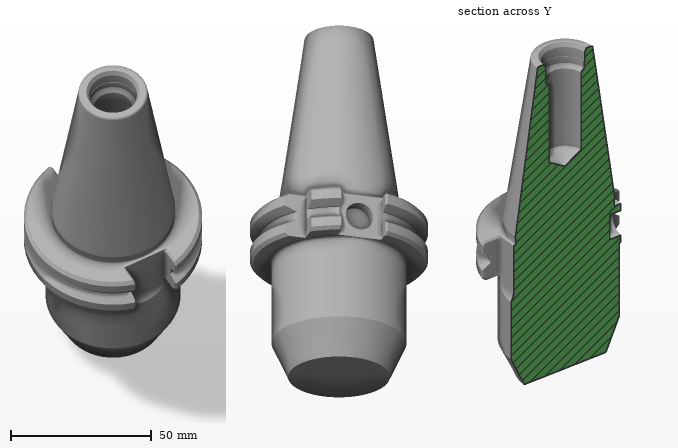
import cadquery as cq
import math

total_length = 131.4
gauge_height = 63.0
nose_height = 13.0
flange_bottom = 43.9
flange_top = 60.2
groove_middle = 52.0

gauge_radius = 22.2
taper_ratio = 7 / 24
taper_fillet = 0.9
neck_radius = 22.0
neck_fillet = 0.5
relief_height = 0.5

body_radius = 24.0
nose_radius = 18.1
body_fillet = 0.7

flange_radius = 63.5 / 2
flange_chamfer = 1.2
groove_floor_radius = 28.1
groove_floor_width = 3.4
groove_shelf = 0.4
groove_angle = 30.0

slot_width = 16.2
slot_chamfer = 0.7
slot_fillet = 0.8
tolerance = 0.001
left_slot_floor = 24.8
right_slot_floor = 22.9
runout_radius = 6.8
runout_start = 40.7
notch_x = 18.5
notch_y = 18.3

side_hole_radius = 5.1
side_hole_depth = 5.0

bore_mouth_radius = 9.5
bore_radius = 8.5
bore_mouth_depth = 1.6
bore_step_depth = 5.4
lower_bore_radius = 8.4
lower_bore_depth = 8.1
thread_radius = 7.0
thread_depth = 42.0
drill_tip_angle = 118.0


def revolve_profile(points):
    """Solid of revolution about Z from (radius, height) points."""
    return cq.Workplane("XZ").polyline(points).close().revolve(360, (0, 0), (0, 1))


def make_root_fillet(radius, face_height, size, direction):
    """Ring that rounds the corner between a cylinder and the flange face it stands on.

    The cylinder leaves the face along direction, +1 up or -1 down.
    """
    wall_end = face_height + direction * size
    return (
        cq.Workplane("XZ")
        .moveTo(0, face_height)
        .lineTo(radius + size, face_height)
        .radiusArc((radius, wall_end), direction * size)
        .lineTo(0, wall_end)
        .close()
        .revolve(360, (0, 0), (0, 1))
    )


def taper_radius(height):
    return gauge_radius - (height - gauge_height) * taper_ratio / 2


def make_shank():
    rim_top = gauge_height + relief_height
    rim_bottom = gauge_height - relief_height
    shank = revolve_profile([
        (0, flange_bottom),
        (neck_radius, flange_bottom),
        (neck_radius, rim_bottom),
        (taper_radius(rim_top), rim_top),
        (taper_radius(total_length), total_length),
        (0, total_length),
    ])
    shank = shank.faces(">Z").edges().fillet(taper_fillet)
    return shank.union(make_root_fillet(neck_radius, flange_top, neck_fillet, 1))


def make_body():
    body = revolve_profile([
        (0, 0),
        (nose_radius, 0),
        (body_radius, nose_height),
        (body_radius, flange_bottom),
        (0, flange_bottom),
    ])
    return body.union(make_root_fillet(body_radius, flange_bottom, body_fillet, -1))


def make_flange_blank():
    chamfer_radius = flange_radius - flange_chamfer
    return revolve_profile([
        (0, flange_bottom),
        (chamfer_radius, flange_bottom),
        (flange_radius, flange_bottom + flange_chamfer),
        (flange_radius, flange_top - flange_chamfer),
        (chamfer_radius, flange_top),
        (0, flange_top),
    ])


def make_groove_cutter():
    floor_half = groove_floor_width / 2
    shelf_radius = groove_floor_radius + groove_shelf
    flank_rise = (flange_radius - shelf_radius) * math.tan(math.radians(groove_angle))
    mouth_half = floor_half + flank_rise
    return revolve_profile([
        (groove_floor_radius, groove_middle - floor_half),
        (shelf_radius, groove_middle - floor_half),
        (flange_radius, groove_middle - mouth_half),
        (flange_radius, groove_middle + mouth_half),
        (shelf_radius, groove_middle + floor_half),
        (groove_floor_radius, groove_middle + floor_half),
    ])


def make_slot_cutter(side, floor):
    length = 2 * (flange_radius - floor)
    height = flange_top - flange_bottom
    return (
        cq.Workplane("XY", origin=(side * (floor + length / 2), 0, flange_bottom))
        .box(length, slot_width, height, centered=(True, True, False))
    )


def is_on_slot_wall(edge):
    box = edge.BoundingBox()
    return box.ylen < tolerance and abs(abs(edge.Center().y) - slot_width / 2) < tolerance


def is_floor_corner(edge):
    """True for the four upright edges where a slot wall meets its floor."""
    middle = edge.Center()
    floor = left_slot_floor if middle.x < 0 else right_slot_floor
    return is_on_slot_wall(edge) and abs(abs(middle.x) - floor) < tolerance


def is_slot_rim(edge):
    """True for the top and outer edges of the slot walls."""
    at_bottom = edge.Center().z < flange_bottom + tolerance
    return is_on_slot_wall(edge) and not is_floor_corner(edge) and not at_bottom


def finish_slot_edges(flange):
    """Chamfer the slot rims, then round the corners at the slot floors."""
    rims = [edge for edge in flange.edges().vals() if is_slot_rim(edge)]
    flange = flange.newObject(rims).chamfer(slot_chamfer)
    corners = [edge for edge in flange.edges().vals() if is_floor_corner(edge)]
    return flange.newObject(corners).fillet(slot_fillet)


def make_runout_cutter():
    """Slot-wide cutter below the right slot, ending in an arc that runs out to the body surface."""
    arc_bottom = runout_start - runout_radius
    arc_centre_x = right_slot_floor + runout_radius
    return (
        cq.Workplane("XZ")
        .moveTo(right_slot_floor, flange_bottom)
        .lineTo(right_slot_floor, runout_start)
        .radiusArc((arc_centre_x, arc_bottom), -runout_radius)
        .lineTo(flange_radius, arc_bottom)
        .lineTo(flange_radius, flange_bottom)
        .close()
        .extrude(slot_width / 2, both=True)
    )


def make_notch_cutter():
    return (
        cq.Workplane("XY", origin=(-notch_x - flange_radius, notch_y, flange_bottom))
        .box(flange_radius, flange_radius, flange_top - flange_bottom, centered=False)
    )


def make_side_hole():
    return (
        cq.Workplane("YZ", origin=(-left_slot_floor, 0, groove_middle))
        .circle(side_hole_radius)
        .extrude(side_hole_depth)
    )


def make_bore():
    """Bore from the top: conical mouth, stepped guide, 45 degree cone and drilled thread hole."""
    step_height = total_length - bore_step_depth
    lower_bottom = total_length - lower_bore_depth
    thread_bottom = total_length - thread_depth
    tip_length = thread_radius / math.tan(math.radians(drill_tip_angle / 2))
    return revolve_profile([
        (0, total_length),
        (bore_mouth_radius, total_length),
        (bore_radius, total_length - bore_mouth_depth),
        (bore_radius, step_height),
        (lower_bore_radius, step_height),
        (lower_bore_radius, lower_bottom),
        (thread_radius, lower_bottom - (lower_bore_radius - thread_radius)),
        (thread_radius, thread_bottom),
        (0, thread_bottom - tip_length),
    ])


flange = make_flange_blank()
flange = flange.cut(make_slot_cutter(-1, left_slot_floor))
flange = flange.cut(make_slot_cutter(1, right_slot_floor))
flange = finish_slot_edges(flange)
flange = flange.cut(make_groove_cutter())
flange = flange.cut(make_notch_cutter())

body = make_body().cut(make_runout_cutter())

result = body.union(flange).union(make_shank())
result = result.cut(make_side_hole()).cut(make_bore())